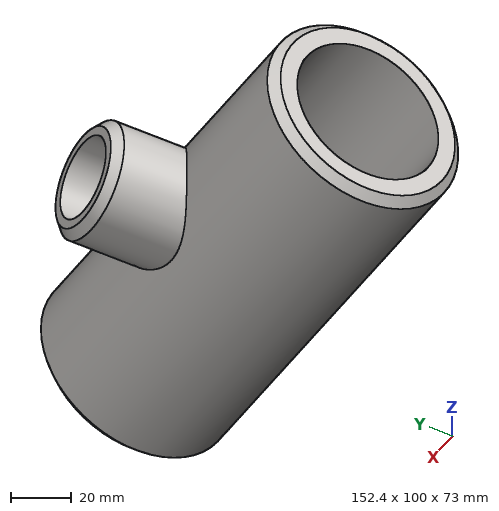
import cadquery as cq

run_length = 152.4
run_diameter = 73.0
run_bore = 54.0
branch_diameter = 42.2
branch_bore = 29.4
branch_reach = 63.5

bevel = 3.2


def run_rod(diameter):
    """Rod along X, centred on the origin, as long as the run."""
    return cq.Workplane("YZ").circle(diameter / 2).extrude(run_length / 2, both=True)


def branch_rod(diameter):
    """Rod from the run axis along +Y to the branch end face."""
    return cq.Workplane("XZ").circle(diameter / 2).extrude(-branch_reach)


run = run_rod(run_diameter).clean().faces("<X or >X").edges().chamfer(bevel)
branch = branch_rod(branch_diameter).faces(">Y").edges().chamfer(bevel)
body = run.union(branch)

result = body.cut(run_rod(run_bore)).cut(branch_rod(branch_bore))